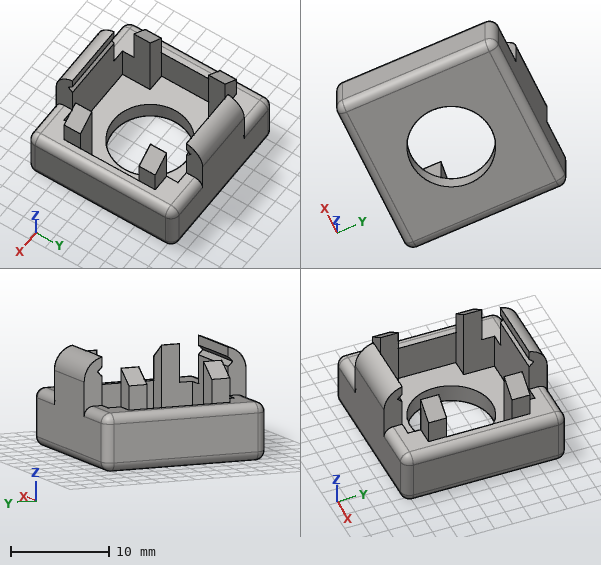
import cadquery as cq
import math

base_side = 18.0
base_height = 6.0
edge_radius = 1.0

floor_thickness = 2.0
pocket_half_length = 7.0
bore_diameter = 9.0

post_inner_x = 5.25
post_outer_x = 7.3
post_inner_y = 3.6
post_width = 2.0
post_tip_z = 10.0
post_shoulder_z = 8.5

tab_width = 7.5
tab_top_z = 11.0
tab_arc_radius = 2.5
notch_depth = 0.5
notch_low_z = 9.0
notch_high_z = 10.0

half_side = base_side / 2


def make_base():
    """Square block with every edge rounded."""
    block = cq.Workplane("XY").box(base_side, base_side, base_height, centered=(True, True, False))
    return block.edges().fillet(edge_radius)


def make_tab():
    """Tab on the +Y side: rounded outer shoulder and a V notch on the inner face."""
    arc_centre_y = half_side - tab_arc_radius
    arc_rise = math.sqrt(tab_arc_radius**2 - (pocket_half_length - arc_centre_y) ** 2)
    arc_start_z = tab_top_z - arc_rise
    mid_angle = math.atan2(arc_rise, pocket_half_length - arc_centre_y) / 2
    arc_middle = (
        arc_centre_y + tab_arc_radius * math.cos(mid_angle),
        arc_start_z + tab_arc_radius * math.sin(mid_angle),
    )
    tab_bottom_z = edge_radius
    return (
        cq.Workplane("YZ")
        .moveTo(pocket_half_length, tab_bottom_z)
        .lineTo(half_side, tab_bottom_z)
        .lineTo(half_side, arc_start_z)
        .threePointArc(arc_middle, (pocket_half_length, tab_top_z))
        .lineTo(pocket_half_length, notch_high_z)
        .lineTo(pocket_half_length + notch_depth, (notch_low_z + notch_high_z) / 2)
        .lineTo(pocket_half_length, notch_low_z)
        .close()
        .extrude(tab_width / 2, both=True)
    )


def make_post():
    """Post in the +X +Y corner, its top sloping down toward the outside."""
    outline = [
        (post_inner_x, floor_thickness),
        (post_outer_x, floor_thickness),
        (post_outer_x, post_shoulder_z),
        (post_inner_x, post_tip_z),
    ]
    post = cq.Workplane("XZ").polyline(outline).close().extrude(-post_width)
    return post.translate((0, post_inner_y, 0))


def make_pocket():
    """Cross-shaped pocket, open at the top, leaving the floor."""
    depth = base_height - floor_thickness
    floor = cq.Workplane("XY").workplane(offset=floor_thickness)
    between_tabs = floor.rect(2 * post_inner_x, 2 * pocket_half_length).extrude(depth)
    between_posts = floor.rect(2 * post_outer_x, 2 * post_inner_y).extrude(depth)
    return between_tabs.union(between_posts)


def make_bore():
    """Round hole through the floor."""
    return cq.Workplane("XY").circle(bore_diameter / 2).extrude(base_height)


tab = make_tab()
body = make_base().union(tab).union(tab.mirror("XZ"))
body = body.cut(make_pocket()).cut(make_bore())

right_post = make_post()
left_post = right_post.mirror("YZ")
for post in (right_post, left_post):
    body = body.union(post).union(post.mirror("XZ"))

result = body